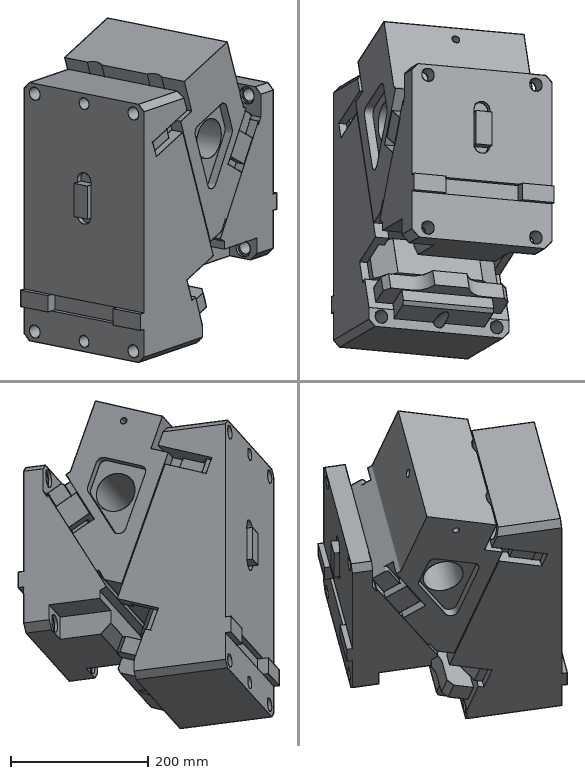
import cadquery as cq
import math

WIDTH = 220.0
HALF = WIDTH / 2
FRONT_TILT = math.radians(20)
BACK_TILT = math.radians(30)
OVER = 22.0
EMBED = 4.5

Y = 0.0
Z = math.radians(90)
N = FRONT_TILT
T = FRONT_TILT + Z
S = Z - BACK_TILT
Q = S + Z

KEY_PROUD = 8.5
SEAT_DEPTH = 8.5
KEY_WIDTH = 25.0
CORNER_KEY_LENGTH = 50.0
CENTRE_KEY_LENGTH = 50.0
CENTRE_SEAT_LENGTH = 77.5
KEY_SEAT_OFFSET = 2.5

SCREW_X = 90.5
SCREW_RADIUS = 9.8
SCREW_HEAD_RADIUS = 13.0
SCREW_EDGE = 15.5
DOWEL_RADIUS = 9.0
CORNER_CHAMFER = 9.8

FRONT_HEIGHT = 390.5
FOOT_DEPTH = 141.0
FRONT_SLIDE = 200.5
FRONT_LIP = 221.0
FOOT_SLOPE = 142.0
LEDGE_T = 62.5
RIDGE_END_T = 27.0
WINDOW_BOTTOM_T = 278.0
WINDOW_TOP_T = 303.5
POCKET_FLOOR = 133.0
RIDGE_EDGE = 145.5
RIDGE_TOP = 166.0
RIDGE_TOP_X = 66.5
HEAD_X = 98.0
NECK_X = 89.0
HEAD_TOP = 182.0
FRONT_KEY_Z = 64.5
FRONT_SEAT_Z = 232.0
DRILL_END_Y = 190.5
FRONT_HEAD_SEAT_Y = 71.0

CRADLE_BOTTOM_T = -12.0
CRADLE_TOP_T = 13.0
CRADLE_CHAMFER = 9.0
STAY_BOTTOM_T = -35.0
STAY_TOP = 179.5
STAY_CHAMFER = 5.5
STAY_X = 71.0

ADJUSTER_X = 55.0
ADJUSTER_N = 212.5
ADJUSTER_RADIUS = 22.0

BACK_FACE = 311.5
BACK_PLATE_FRONT = 281.0
BACK_BOTTOM = 96.2
BACK_TOP = 356.5
BACK_SLIDE = -84.5
SLIDE_RELIEF = 2.5
SLIDE_RELIEF_Y = 275.5
BACK_SLIDE_END_S = 221.0
BACK_NOSE_Y = 194.0
BACK_NOSE_CHAMFER = 15.5
BACK_BOTTOM_CHAMFER = 11.5
NOTCH_TOP = 131.3
NOTCH_BACK_Y = 272.0
NOTCH_X = 60.0
BACK_SEAT_Z = 269.5
BACK_KEY_Z = 177.0
HEAD_SEAT_DEPTH = 4.5
BACK_SCREW_X = 84.5

GUIDE_BOTTOM_S = 337.0
GUIDE_TOP_S = 378.0
GROOVE_BOTTOM_S = 324.5
GROOVE_CEILING = -46.5
HOOK_LIP = -58.0
GROOVE_X = 95.0
UNDERCUT_X = 85.0
GUIDE_X = 96.5
GUIDE_INSET = 1.0
GUIDE_CLEARANCE = 1.5
LIP_ROUND = 4.0

WEDGE_SLIDE = 201.8
WEDGE_FRONT = 230.0
WEDGE_REAR = 340.0
WEDGE_TOP_T = 348.0
SHELF_T = 296.2
WEDGE_BOTTOM_T = 86.5
SHOULDER_S = 411.5
SHOULDER_ROUND = 2.0
WEDGE_RELIEF = 3.0
WEDGE_RELIEF_S = 251.0
BORE_Y = 174.0
BORE_Z = 300.5
BORE_RADIUS = 29.5
POCKET_DEPTH = 13.5
POCKET_FRONT = 225.3
POCKET_REAR = 305.5
POCKET_TOP_T = 267.5
POCKET_LOW_Q = -32.5
POCKET_ROUND = 10.5
SIDE_DUCT_RADIUS = 5.0
REAR_DUCT_RADIUS = 5.8
DUCT_N = 286.5
DUCT_T = 328.0


def meet(direction_a, distance_a, direction_b, distance_b):
    """(Y, Z) where two lines cross, each given by its normal's angle and its distance from the origin."""
    ca, sa = math.cos(direction_a), math.sin(direction_a)
    cb, sb = math.cos(direction_b), math.sin(direction_b)
    span = ca * sb - sa * cb
    return ((distance_a * sb - distance_b * sa) / span, (distance_b * ca - distance_a * cb) / span)


def front_point(n, t):
    """(Y, Z) of a point in the frame of the front sliding face."""
    return meet(N, n, T, t)


def back_point(q, s):
    """(Y, Z) of a point in the frame of the back sliding face."""
    return meet(Q, q, S, s)


def slab(points, x_low, x_high):
    """Side outline in Y and Z, extruded from x_low to x_high."""
    return cq.Workplane("YZ", origin=(x_low, 0, 0)).polyline(points).close().extrude(x_high - x_low)


def rod_x(centre, radius, length):
    """Rod along X with its axis at centre (Y, Z), starting at the left side of the bodies."""
    return cq.Workplane("YZ", origin=(-HALF, 0, 0)).center(*centre).circle(radius).extrude(length)


def adjuster_rods(radius, t_low, t_high):
    """Rods on the two adjusting screw axes."""
    places = [(-ADJUSTER_X, ADJUSTER_N), (ADJUSTER_X, ADJUSTER_N)]
    return cq.Workplane(front_plane(t_low)).pushPoints(places).circle(radius).extrude(t_high - t_low)


def both_sides(points, x_inner, x_outer):
    """The same slab on the left and on the right."""
    return slab(points, -x_outer, -x_inner).union(slab(points, x_inner, x_outer))


def back_rectangle(q_low, q_high, s_low, s_high):
    """Corners of a rectangle squared up with the back sliding face."""
    return [back_point(q_low, s_low), back_point(q_high, s_low),
            back_point(q_high, s_high), back_point(q_low, s_high)]


def front_plane(t):
    """Plane square to the front sliding face: local x is X, local y is n."""
    y, z = front_point(0, t)
    normal = (0, -math.sin(FRONT_TILT), math.cos(FRONT_TILT))
    return cq.Plane(origin=(0, y, z), xDir=(1, 0, 0), normal=normal)


def front_prism(half_profile, t_low, t_high):
    """Symmetric (X, n) profile, given by its right half, extruded along the front sliding face."""
    left = [(-x, n) for x, n in reversed(half_profile)]
    return cq.Workplane(front_plane(t_low)).polyline(half_profile + left).close().extrude(t_high - t_low)


def box(x_range, y_range, z_range):
    (x0, x1), (y0, y1), (z0, z1) = x_range, y_range, z_range
    return cq.Workplane("XY").box(x1 - x0, y1 - y0, z1 - z0, centered=False).translate((x0, y0, z0))


def drill_y(places, radius, y_low, y_high):
    """Cylinders along Y at the given (X, Z) places."""
    return cq.Workplane("XZ", origin=(0, y_low, 0)).pushPoints(places).circle(radius).extrude(y_low - y_high)


def corner_chamfers(z_end, inward, size, y_low, y_high):
    """Triangular prisms that take the two corners off an end of a block."""
    corners = cq.Workplane("XY")
    for side in (-1, 1):
        triangle = [(side * HALF, z_end), (side * (HALF - size), z_end), (side * HALF, z_end + inward * size)]
        prism = cq.Workplane("XZ", origin=(0, y_low, 0)).polyline(triangle).close().extrude(y_low - y_high)
        corners = corners.add(prism)
    return corners.combine()


def fit_keys(block, face_y, outward, cross_z, seat_z):
    """Cut the cross groove and the upright seat in a mounting face and leave the keys in them."""
    inner = face_y - outward * SEAT_DEPTH
    outer = face_y + outward * KEY_PROUD
    seat_y = sorted((inner, face_y))
    key_y = sorted((inner, outer))
    cross = (cross_z - KEY_WIDTH / 2, cross_z + KEY_WIDTH / 2)
    block = block.cut(box((-HALF, HALF), seat_y, cross))
    seat = (cq.Workplane("XZ", origin=(0, seat_y[0], seat_z))
            .slot2D(CENTRE_SEAT_LENGTH, KEY_WIDTH, 90).extrude(-SEAT_DEPTH))
    block = block.cut(seat)
    for x_low in (-HALF, HALF - CORNER_KEY_LENGTH):
        block = block.union(box((x_low, x_low + CORNER_KEY_LENGTH), key_y, cross))
    key_bottom = seat_z - KEY_SEAT_OFFSET - CENTRE_KEY_LENGTH / 2
    upright = (key_bottom, key_bottom + CENTRE_KEY_LENGTH)
    return block.union(box((-KEY_WIDTH / 2, KEY_WIDTH / 2), key_y, upright))


def t_key(n_open, t_low, t_high):
    """T-shaped key, hollowed underneath to straddle the ridge, opening at n_open."""
    half = [(RIDGE_TOP_X, RIDGE_TOP), (HEAD_X, RIDGE_EDGE), (HEAD_X, HEAD_TOP),
            (NECK_X, HEAD_TOP), (NECK_X, n_open)]
    return front_prism(half, t_low, t_high)


def beside_ridge(t_low, t_high):
    """Space above and beside the ridge, open to both sides."""
    open_n = FRONT_LIP + OVER
    half = [(RIDGE_TOP_X, RIDGE_TOP), (HEAD_X, RIDGE_EDGE), (HEAD_X, POCKET_FLOOR),
            (HALF, POCKET_FLOOR), (HALF, open_n)]
    return front_prism(half, t_low, t_high)


def screw_cradle():
    """Bracket with two round-bottomed notches for the adjusting screws, and the stay below it."""
    base = FOOT_SLOPE - EMBED
    notch_radius = ADJUSTER_N - HEAD_TOP
    half = [(HEAD_X, base), (HEAD_X, HEAD_TOP - CRADLE_CHAMFER), (HEAD_X - CRADLE_CHAMFER, HEAD_TOP),
            (ADJUSTER_X, HEAD_TOP), (ADJUSTER_X, FRONT_SLIDE)]
    cradle = front_prism(half, CRADLE_BOTTOM_T, CRADLE_TOP_T)
    notches = adjuster_rods(notch_radius, CRADLE_BOTTOM_T, CRADLE_TOP_T)
    stay_outline = [front_point(POCKET_FLOOR, CRADLE_BOTTOM_T), front_point(STAY_TOP, CRADLE_BOTTOM_T),
                    front_point(STAY_TOP, STAY_BOTTOM_T + STAY_CHAMFER),
                    front_point(STAY_TOP - STAY_CHAMFER, STAY_BOTTOM_T),
                    front_point(POCKET_FLOOR, STAY_BOTTOM_T)]
    return cradle.cut(notches).union(slab(stay_outline, -STAY_X, STAY_X))


def make_front_block():
    outline = [(0, 0), (FOOT_DEPTH, 0), meet(N, FOOT_SLOPE, Y, FOOT_DEPTH),
               front_point(FOOT_SLOPE, RIDGE_END_T), front_point(FRONT_SLIDE, RIDGE_END_T),
               front_point(FRONT_SLIDE, WINDOW_TOP_T), front_point(FRONT_LIP, WINDOW_TOP_T),
               meet(N, FRONT_LIP, Z, FRONT_HEIGHT), (0, FRONT_HEIGHT)]
    block = slab(outline, -HALF, HALF)
    block = block.cut(corner_chamfers(FRONT_HEIGHT, -1, CORNER_CHAMFER, 0, FOOT_DEPTH))
    block = block.cut(corner_chamfers(0, 1, CORNER_CHAMFER, 0, FOOT_DEPTH))

    block = block.cut(beside_ridge(RIDGE_END_T, LEDGE_T))
    block = block.cut(beside_ridge(WINDOW_BOTTOM_T, WINDOW_TOP_T))
    block = block.cut(t_key(FRONT_SLIDE + OVER, LEDGE_T, WINDOW_BOTTOM_T))

    block = block.union(screw_cradle())
    top_z = FRONT_HEIGHT - SCREW_EDGE
    screws = [(x, z) for x in (-SCREW_X, SCREW_X) for z in (SCREW_EDGE, top_z)]
    block = block.cut(drill_y(screws, SCREW_RADIUS, 0, DRILL_END_Y))
    block = block.cut(drill_y([(0, SCREW_EDGE), (0, top_z)], DOWEL_RADIUS, 0, DRILL_END_Y))
    head_seats = [(-SCREW_X, top_z), (SCREW_X, top_z)]
    block = block.cut(drill_y(head_seats, SCREW_HEAD_RADIUS, FRONT_HEAD_SEAT_Y, FOOT_DEPTH))

    return fit_keys(block, 0, -1, FRONT_KEY_Z, FRONT_SEAT_Z)


def hooked_guides():
    """Pair of hooked guides standing on the back sliding face."""
    top = GROOVE_CEILING - GUIDE_CLEARANCE
    stem = back_rectangle(BACK_SLIDE - EMBED, top, GUIDE_BOTTOM_S, GUIDE_TOP_S)
    hook = back_rectangle(HOOK_LIP + GUIDE_CLEARANCE, top, GUIDE_BOTTOM_S, GUIDE_TOP_S)
    guides = both_sides(stem, GUIDE_X, HALF - GUIDE_INSET)
    return guides.union(both_sides(hook, UNDERCUT_X + GUIDE_CLEARANCE, GUIDE_X))


def make_back_block():
    relieved = BACK_SLIDE - SLIDE_RELIEF
    outline = [(BACK_FACE, BACK_BOTTOM), (BACK_FACE, BACK_TOP), (BACK_PLATE_FRONT, BACK_TOP),
               meet(Q, relieved, Y, BACK_PLATE_FRONT), meet(Q, relieved, Y, SLIDE_RELIEF_Y),
               meet(Q, BACK_SLIDE, Y, SLIDE_RELIEF_Y), back_point(BACK_SLIDE, BACK_SLIDE_END_S),
               meet(S, BACK_SLIDE_END_S, Y, BACK_NOSE_Y), (BACK_NOSE_Y, BACK_BOTTOM + BACK_NOSE_CHAMFER),
               (BACK_NOSE_Y + BACK_NOSE_CHAMFER, BACK_BOTTOM)]
    block = slab(outline, -HALF, HALF)
    block = block.cut(corner_chamfers(BACK_TOP, -1, CORNER_CHAMFER, BACK_PLATE_FRONT, BACK_FACE))
    block = block.cut(corner_chamfers(BACK_BOTTOM, 1, BACK_BOTTOM_CHAMFER, BACK_NOSE_Y, BACK_FACE))

    for x_range in ((-HALF, -NOTCH_X), (NOTCH_X, HALF)):
        block = block.cut(box(x_range, (BACK_NOSE_Y, NOTCH_BACK_Y), (BACK_BOTTOM, NOTCH_TOP)))

    for z, seat_y in ((BACK_TOP - SCREW_EDGE, BACK_PLATE_FRONT), (BACK_BOTTOM + SCREW_EDGE, NOTCH_BACK_Y)):
        places = [(-BACK_SCREW_X, z), (BACK_SCREW_X, z)]
        block = block.cut(drill_y(places, SCREW_RADIUS, seat_y, BACK_FACE))
        block = block.cut(drill_y(places, SCREW_HEAD_RADIUS, seat_y, seat_y + HEAD_SEAT_DEPTH))

    block = fit_keys(block, BACK_FACE, 1, BACK_KEY_Z, BACK_SEAT_Z)
    return block.union(hooked_guides())


def guide_grooves():
    """Grooves for the hooked guides, undercut and rounded at the mouth of the lip."""
    mouth = SHOULDER_S
    groove = back_rectangle(BACK_SLIDE - OVER, GROOVE_CEILING, GROOVE_BOTTOM_S, mouth)
    undercut = back_rectangle(HOOK_LIP, GROOVE_CEILING, GROOVE_BOTTOM_S, mouth)
    square = back_rectangle(HOOK_LIP - LIP_ROUND, HOOK_LIP, mouth - LIP_ROUND, mouth)
    lip = both_sides(square, UNDERCUT_X, GROOVE_X)
    centre = back_point(HOOK_LIP - LIP_ROUND, mouth - LIP_ROUND)
    grooves = both_sides(groove, GROOVE_X, HALF).union(both_sides(undercut, UNDERCUT_X, GROOVE_X))
    return grooves.union(lip.cut(rod_x(centre, LIP_ROUND, WIDTH)))


def side_pockets():
    """Four-sided rounded pockets around the cross bore."""
    outline = [front_point(POCKET_FRONT, POCKET_TOP_T), front_point(POCKET_REAR, POCKET_TOP_T),
               meet(N, POCKET_REAR, Q, POCKET_LOW_Q), meet(N, POCKET_FRONT, Q, POCKET_LOW_Q)]
    pockets = both_sides(outline, HALF - POCKET_DEPTH, HALF)
    return pockets.edges("|X").fillet(POCKET_ROUND)


def make_wedge():
    low_q = BACK_SLIDE + WEDGE_RELIEF
    outline = [front_point(WEDGE_SLIDE, WEDGE_BOTTOM_T), front_point(WEDGE_SLIDE, SHELF_T),
               front_point(WEDGE_FRONT, SHELF_T), front_point(WEDGE_FRONT, WEDGE_TOP_T),
               front_point(WEDGE_REAR, WEDGE_TOP_T), meet(N, WEDGE_REAR, S, SHOULDER_S),
               back_point(BACK_SLIDE, SHOULDER_S), back_point(BACK_SLIDE, WEDGE_RELIEF_S),
               back_point(low_q, WEDGE_RELIEF_S), meet(Q, low_q, T, WEDGE_BOTTOM_T)]
    wedge = slab(outline, -HALF, HALF)
    shoulder = (0, *meet(N, WEDGE_REAR, S, SHOULDER_S))
    wedge = wedge.edges(cq.NearestToPointSelector(shoulder)).fillet(SHOULDER_ROUND)
    wedge = wedge.union(t_key(WEDGE_SLIDE + EMBED, WEDGE_BOTTOM_T, SHELF_T))
    wedge = wedge.cut(guide_grooves())
    wedge = wedge.cut(side_pockets())
    wedge = wedge.cut(rod_x((BORE_Y, BORE_Z), BORE_RADIUS, WIDTH))
    wedge = wedge.cut(adjuster_rods(ADJUSTER_RADIUS, SHELF_T, WEDGE_TOP_T))

    duct_y, duct_z = front_point(DUCT_N, DUCT_T)
    side_duct = rod_x((duct_y, duct_z), SIDE_DUCT_RADIUS, HALF)
    inner_end = cq.Vector(0, duct_y, duct_z)
    rearward = cq.Vector(0, *front_point(1, 0))
    rear_duct = cq.Solid.makeCylinder(REAR_DUCT_RADIUS, WEDGE_REAR - DUCT_N, inner_end, rearward)
    return wedge.cut(side_duct).cut(cq.Workplane(rear_duct))


front_block = make_front_block()
back_block = make_back_block()
wedge = make_wedge()
result = cq.Compound.makeCompound([body.solids().val() for body in (front_block, back_block, wedge)])